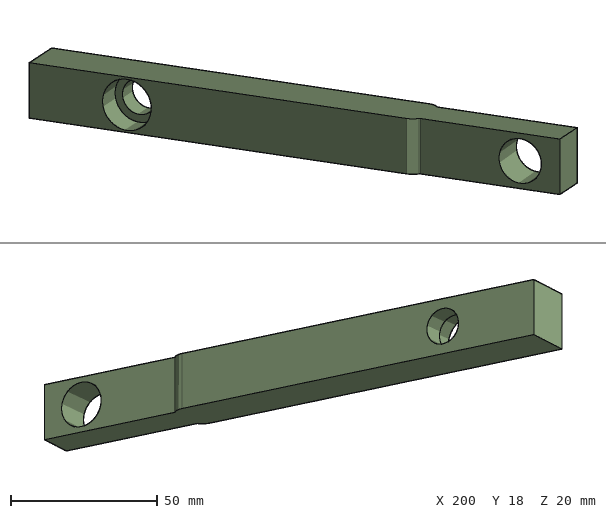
import cadquery as cq
import math

length = 200.0
width = 18.0
height = 20.0

tongue_width = 14.0
tongue_length = 52.8
shoulder_radius = 5.0
root_radius = 0.5

bolt_x = 37.0
bolt_diameter = 12.8
counterbore_diameter = 18.5
counterbore_depth = 10.0

pin_x = 185.0
pin_diameter = 16.0

shoulder_drop = (width - tongue_width) / 2
arc_radii = shoulder_radius + root_radius
shoulder_angle = math.acos(1 - shoulder_drop / arc_radii)
tongue_start = length - tongue_length
shoulder_start = tongue_start - arc_radii * math.sin(shoulder_angle)


def shoulder_point(angle):
    """Point on the convex arc where the side has turned by angle."""
    x = shoulder_start + shoulder_radius * math.sin(angle)
    y = width / 2 - shoulder_radius * (1 - math.cos(angle))
    return x, y


def root_point(angle):
    """Point on the concave arc where the side slopes by angle."""
    x = tongue_start - root_radius * math.sin(angle)
    y = tongue_width / 2 + root_radius * (1 - math.cos(angle))
    return x, y


def half_bar():
    """The +Y half of the bar, centred on Z, starting at X = 0."""
    return (
        cq.Workplane("XY")
        .lineTo(0, width / 2)
        .lineTo(shoulder_start, width / 2)
        .threePointArc(shoulder_point(shoulder_angle / 2), shoulder_point(shoulder_angle))
        .threePointArc(root_point(shoulder_angle / 2), (tongue_start, tongue_width / 2))
        .lineTo(length, tongue_width / 2)
        .lineTo(length, 0)
        .close()
        .extrude(height / 2, both=True)
    )


def hole(x, diameter, start_y, depth):
    """Cylinder along +Y from start_y, at mid height."""
    return (
        cq.Workplane("XZ", origin=(x, start_y, 0))
        .circle(diameter / 2)
        .extrude(-depth)
    )


front_y = -width / 2
result = (
    half_bar()
    .union(half_bar().mirror("XZ"))
    .clean()
    .cut(hole(bolt_x, bolt_diameter, front_y, width))
    .cut(hole(bolt_x, counterbore_diameter, front_y, counterbore_depth))
    .cut(hole(pin_x, pin_diameter, front_y, width))
)